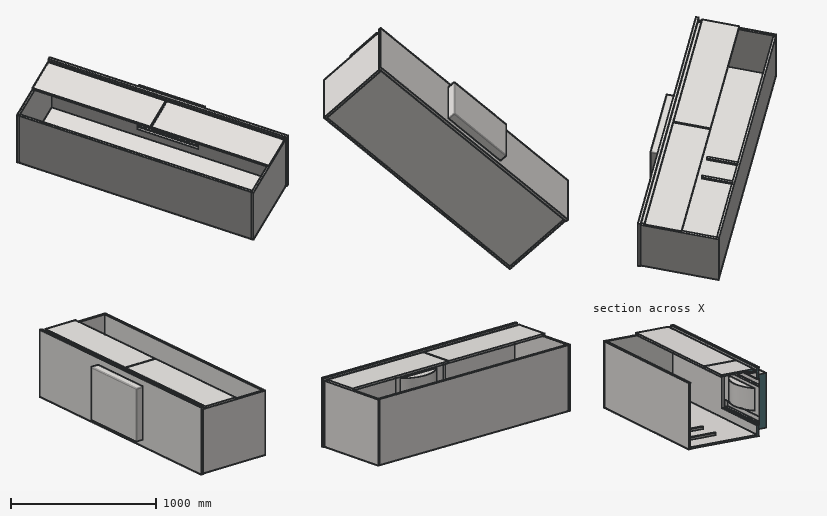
import cadquery as cq


board = 16.0
carcass_width = 1785.0
carcass_rise = 550.0
carcass_depth = 480.0
inner_width = carcass_width - 2 * board

counter_width = 1800.0
counter_depth = 500.0
counter_thickness = 20.0
counter_top = carcass_rise + counter_thickness
cutout_width = 460.0
cutout_depth = 335.0

drawer_thickness = 16.0
drawer_bottom = 263.0
drawer_rise = 263.0
drawer_gap = 7.0
drawer_width = (carcass_width - drawer_gap) / 2

basin_top = 630.0
basin_width = 504.0
basin_depth = 400.0
basin_rounding = 5.0
basin_middle = counter_depth / 2

recess_width = 450.0
recess_depth = 317.0
recess_rise = 25.0
recess_top = counter_top + recess_rise
slot_width = 50.0
block_depth = recess_depth - 2 * slot_width

bowl_radius = 252.0
bowl_bottom = 505.0
bowl_length = 162.0

rib_spacing = 164.0
rib_rise = 288.0
rib_depth = 16.0

rail_rise = 72.0


def centered(size, middle=0.0):
    """Lower and upper limit of a length centred on a place."""
    return (middle - size / 2, middle + size / 2)


def box_between(x_limits, y_limits, z_limits):
    """A box given by its lower and upper limit along each axis."""
    x_low, x_high = x_limits
    y_low, y_high = y_limits
    z_low, z_high = z_limits
    box = cq.Workplane("XY").box(x_high - x_low, y_high - y_low, z_high - z_low, centered=False)
    return box.translate((x_low, y_low, z_low))


def make_side_panel(side):
    x_middle = side * (carcass_width - board) / 2
    return box_between(centered(board, x_middle), (0, carcass_rise), (0, carcass_depth))


def make_lower_panel():
    return box_between(centered(inner_width), (0, board), (0, carcass_depth))


def make_rear_panel():
    panel = box_between(centered(inner_width), (board, carcass_rise), (0, board))
    for side in (-1, 1):
        rib = box_between(
            centered(board, side * rib_spacing / 2),
            (board, board + rib_rise),
            (board, board + rib_depth),
        )
        panel = panel.union(rib)
    return panel


def make_front_rail():
    return box_between(
        centered(inner_width),
        (carcass_rise - rail_rise, carcass_rise),
        (carcass_depth - board, carcass_depth),
    )


def make_countertop():
    y_limits = (carcass_rise, counter_top)
    slab = box_between(centered(counter_width), y_limits, (0, counter_depth))
    cutout = box_between(centered(cutout_width), y_limits, centered(cutout_depth, basin_middle))
    return slab.cut(cutout)


def make_drawer_front(side):
    x_middle = side * (drawer_width + drawer_gap) / 2
    return box_between(
        centered(drawer_width, x_middle),
        (drawer_bottom, drawer_bottom + drawer_rise),
        (carcass_depth, carcass_depth + drawer_thickness),
    )


def make_bowl():
    """Part of a cylinder along Z, cut off level where it meets the basin."""
    bowl_back = basin_middle - bowl_length / 2
    cylinder = (
        cq.Workplane("XY", origin=(0, bowl_bottom + bowl_radius, bowl_back))
        .circle(bowl_radius)
        .extrude(bowl_length)
    )
    kept = box_between(
        centered(2 * bowl_radius), (bowl_bottom, recess_top), centered(bowl_length, basin_middle)
    )
    return cylinder.intersect(kept)


def make_basin():
    body = box_between(
        centered(basin_width), (counter_top, basin_top), centered(basin_depth, basin_middle)
    )
    body = body.edges("|Y or >Y").fillet(basin_rounding)
    recess_limits = (counter_top, recess_top)
    recess = box_between(centered(recess_width), recess_limits, centered(recess_depth, basin_middle))
    block = box_between(centered(recess_width), recess_limits, centered(block_depth, basin_middle))
    return body.cut(recess).union(block).union(make_bowl())


side_panels = [make_side_panel(side) for side in (-1, 1)]
lower_panel = make_lower_panel()
rear_panel = make_rear_panel()
front_rail = make_front_rail()
countertop = make_countertop()
drawer_fronts = [make_drawer_front(side) for side in (-1, 1)]
basin = make_basin()

result = cq.Compound.makeCompound([
    *[panel.val() for panel in side_panels],
    lower_panel.val(),
    rear_panel.val(),
    front_rail.val(),
    countertop.val(),
    *[front.val() for front in drawer_fronts],
    *basin.vals(),
])